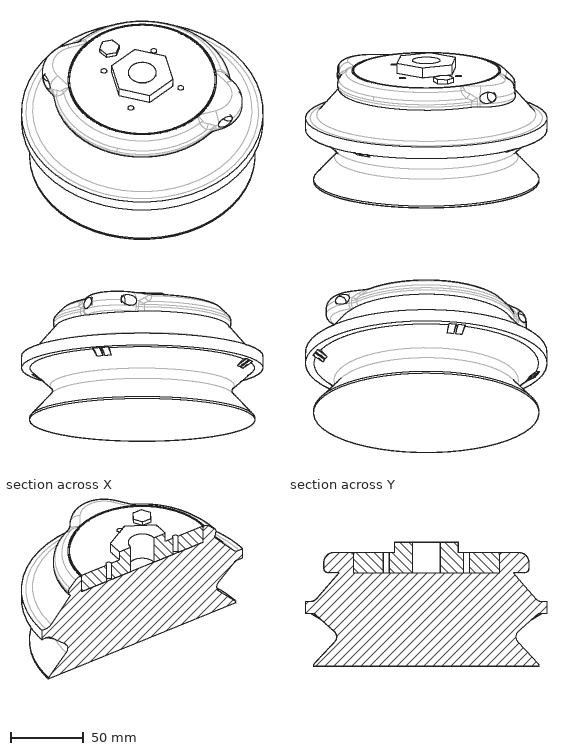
import cadquery as cq
import math

total_height = 85.3
hex_height = 7.0
deck_z = total_height - hex_height
collar_height = 14.0
collar_base_z = deck_z - collar_height

lip_radius = 77.5
lip_height = 1.4
neck_apex_radius = 59.5
neck_apex_z = 20.6
neck_fillet = 5.0
rim_radius = 83.0
rim_base_z = 36.3
rim_top_z = 44.6
rim_root_radius = 77.1
rim_fillet = 6.0
shoulder_radius = 60.0
shoulder_overlap = 2.0

pad_tip_radius = 79.3
pad_foot_radius = 72.3
pad_foot_z = 32.0
pad_start_angle = 0.5
pad_angle = 3.7
pad_embed = 2.0

collar_radius = 61.0
collar_top_fillet = 7.0
collar_bevel_fillet = 3.5
collar_base_fillet = 3.0
collar_top_radius = 50.2
bevel_angle = math.radians(45)
collar_bevel = collar_radius - collar_top_radius - collar_top_fillet * math.tan(bevel_angle / 2)

ear_reach = 70.5
ear_tip_radius = 23.5
ear_center_x = ear_reach - ear_tip_radius
ear_half_angle = 55.0
ear_flank_length = 26.0
ear_top_fillet = 7.0
ear_seam_fillet = 8.0

seam_min_x = 43.0
seam_max_x = 57.0
seam_min_y = 20.0
seam_max_y = 30.0

ear_hole_diameter = 7.5
ear_hole_x = 64.0
ear_hole_z = deck_z - ear_top_fillet
ear_hole_end_y = 10.8

plate_radius = 50.0
groove_radius = 51.0
groove_depth = 1.0
nut_width = 38.0
bore_diameter = 19.0
plug_width = 12.0
plug_height = 3.0
plug_x = -29.3
plug_y = 19.4
screw_hole_diameter = 4.0
screw_circle_radius = 27.5


def revolve_profile(points, angle=360):
    """Turn a closed (radius, z) outline about the Z axis."""
    return cq.Workplane("XZ").polyline(points).close().revolve(angle, (0, 0, 0), (0, 1, 0))


def fillet_ring(body, radius, z, fillet_radius):
    """Round the full-circle edge of the given radius and height."""
    tolerance = 0.05
    rings = [
        edge for edge in body.edges("%CIRCLE").vals()
        if abs(edge.radius() - radius) < tolerance and abs(edge.Center().z - z) < tolerance
    ]
    return body.newObject(rings).fillet(fillet_radius)


def bellows_skirt():
    """Lip, neck, rim and shoulder, with the shoulder cone carried up into the collar."""
    shoulder_slope = (rim_root_radius - shoulder_radius) / (collar_base_z - rim_top_z)
    shoulder_end_z = collar_base_z + shoulder_overlap
    shoulder_end_radius = shoulder_radius - shoulder_slope * shoulder_overlap
    skirt = revolve_profile([
        (0, 0),
        (lip_radius, 0),
        (lip_radius, lip_height),
        (neck_apex_radius, neck_apex_z),
        (rim_root_radius, rim_base_z),
        (rim_radius, rim_base_z),
        (rim_radius, rim_top_z),
        (rim_root_radius, rim_top_z),
        (shoulder_end_radius, shoulder_end_z),
        (0, shoulder_end_z),
    ])
    skirt = fillet_ring(skirt, neck_apex_radius, neck_apex_z, neck_fillet)
    return fillet_ring(skirt, rim_root_radius, rim_top_z, rim_fillet)


def collar_ring():
    bevel_top_radius = collar_radius - collar_bevel
    bevel_base_z = deck_z - collar_bevel
    ring = revolve_profile([
        (0, collar_base_z),
        (collar_radius, collar_base_z),
        (collar_radius, bevel_base_z),
        (bevel_top_radius, deck_z),
        (0, deck_z),
    ])
    ring = fillet_ring(ring, bevel_top_radius, deck_z, collar_top_fillet)
    return fillet_ring(ring, collar_radius, bevel_base_z, collar_bevel_fillet)


def ear():
    """One ear on the +X side: a round tip with straight flanks that run into the collar."""
    angle = math.radians(ear_half_angle)
    tip_x = ear_center_x + ear_tip_radius * math.cos(angle)
    tip_y = ear_tip_radius * math.sin(angle)
    root_x = tip_x - ear_flank_length * math.sin(angle)
    root_y = tip_y + ear_flank_length * math.cos(angle)
    block = (
        cq.Workplane("XY").workplane(offset=collar_base_z)
        .moveTo(root_x, -root_y)
        .lineTo(tip_x, -tip_y)
        .threePointArc((ear_reach, 0), (tip_x, tip_y))
        .lineTo(root_x, root_y)
        .close()
        .extrude(collar_height)
    )
    return block.faces(">Z").edges("not(<X)").fillet(ear_top_fillet)


def collar():
    """Ring and both ears in one piece, blended at the seams and round the lower edge."""
    body = collar_ring().union(ear())
    seams = []
    for edge in body.edges().vals():
        middle = edge.Center()
        if seam_min_x < middle.x < seam_max_x and seam_min_y < abs(middle.y) < seam_max_y:
            seams.append(edge)
    body = body.newObject(seams).fillet(ear_seam_fillet)
    body = body.faces("<Z").edges().fillet(collar_base_fillet)
    right_side = cq.Workplane("XY").box(
        2 * rim_radius, 2 * rim_radius, total_height, centered=(False, True, False)
    )
    right_half = body.intersect(right_side)
    left_half = right_half.rotate((0, 0, 0), (0, 0, 1), 180)
    return right_half.union(left_half)


def rim_pads():
    """Wedge pads under the rim, a pair on each of the four sides."""
    wedge = [
        (rim_root_radius - pad_embed, rim_base_z + pad_embed),
        (pad_tip_radius, rim_base_z + pad_embed),
        (pad_tip_radius, rim_base_z),
        (pad_foot_radius, pad_foot_z),
        (pad_foot_radius - pad_embed, pad_foot_z + pad_embed),
    ]
    pad = revolve_profile(wedge, pad_angle)
    pads = []
    for side in range(4):
        for offset in (pad_start_angle, -pad_start_angle - pad_angle):
            turn = 90 * side + offset
            pads.append(pad.rotate((0, 0, 0), (0, 0, 1), turn))
    return pads


def ear_holes():
    """Blind cross holes, drilled along Y from both sides of each ear."""
    hole_length = rim_radius - ear_hole_end_y
    drills = cq.Workplane("XY")
    for x in (-ear_hole_x, ear_hole_x):
        for side in (-1, 1):
            start = cq.Vector(x, side * ear_hole_end_y, ear_hole_z)
            direction = cq.Vector(0, side, 0)
            drills = drills.add(cq.Solid.makeCylinder(ear_hole_diameter / 2, hole_length, start, direction))
    return drills.combine()


def cylinder(radius, base_z, height):
    return cq.Workplane("XY").workplane(offset=base_z).circle(radius).extrude(height)


def make_bellows():
    body = bellows_skirt().union(collar())
    for pad in rim_pads():
        body = body.union(pad)
    body = body.cut(ear_holes())
    body = body.cut(cylinder(plate_radius, collar_base_z, collar_height))
    return body.cut(cylinder(groove_radius, deck_z - groove_depth, groove_depth))


def hexagon(width, height):
    """Hexagonal prism on the deck with two corners on the X axis."""
    corner_diameter = width / math.cos(math.radians(30))
    return cq.Workplane("XY").workplane(offset=deck_z).polygon(6, corner_diameter).extrude(height)


def make_fitting():
    plate = cylinder(plate_radius, collar_base_z, collar_height)
    nut = hexagon(nut_width, hex_height)
    plug = hexagon(plug_width, plug_height).rotate((0, 0, 0), (0, 0, 1), 90).translate((plug_x, plug_y, 0))
    body = plate.union(nut).union(plug)
    body = body.cut(cylinder(bore_diameter / 2, collar_base_z, collar_height + hex_height))
    screw_holes = (
        cq.Workplane("XY").workplane(offset=collar_base_z)
        .polarArray(screw_circle_radius, 0, 360, 4)
        .circle(screw_hole_diameter / 2)
        .extrude(collar_height)
    )
    return body.cut(screw_holes)


bellows = make_bellows()
fitting = make_fitting()

result = cq.Compound.makeCompound([bellows.solids().val(), fitting.solids().val()])